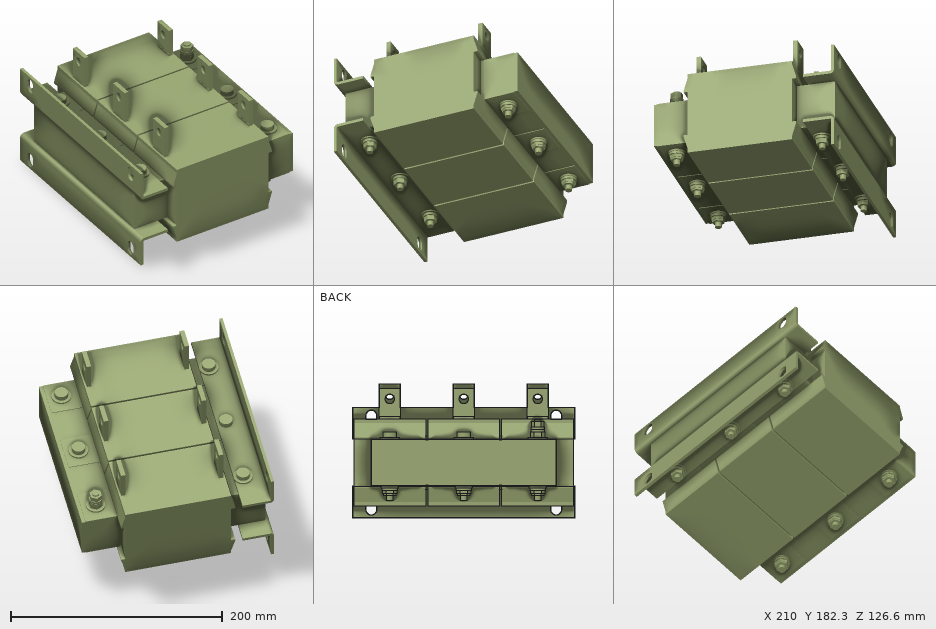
import cadquery as cq


phase_pitch = 70.0
leg_width = 35.0
core_half_height = 21.6
window_front = -53.5
rear_yoke_front = 54.5
core_width = 2 * phase_pitch + leg_width
core_front = window_front - leg_width
core_rear = rear_yoke_front + leg_width
gap_plate_inset = 0.2
gap_plate_width = core_width - 2 * gap_plate_inset

strip_thickness = 0.6
strip_front_setback = 0.2
strip_rear_setback = 3.8
strip_front = core_front + strip_front_setback
strip_rear = core_rear - strip_rear_setback
strip_face = core_half_height + strip_thickness

coil_width = 68.0
coil_half_length = 51.5
coil_half_height = 41.2
flange_overhang = 4.0
flange_bottom = 22.5
flange_slope_start = 24.2
flange_slope_end = 37.4

terminal_width = 20.0
terminal_thickness = 4.5
front_terminal_y = -47.5
rear_terminal_y = 47.7
front_terminal_top = 74.3
rear_terminal_top = 70.1
terminal_hole_diameter = 8.8
terminal_hole_drop = 10.0
foot_height = 2.3
foot_step = 0.2
foot_width = terminal_width - 2 * foot_step
foot_top = coil_half_height + foot_height

bracket_length = 210.0
bracket_thickness = 3.0
bracket_half_span = 52.3
bracket_front = -92.8
bracket_rear = -62.4
bend_inner_radius = 1.0
bend_outer_radius = bend_inner_radius + bracket_thickness
bracket_face = strip_face + bracket_thickness
slot_spacing = 174.7
slot_length = 14.5
slot_width = 10.0
slot_height = 42.2

front_bolt_y = core_front + leg_width / 2
rear_bolt_y = core_rear - leg_width / 2
hex_nut_size = 12.2
large_nut_size = 13.5
rear_stud_diameter = 6.5
front_stud_diameter = 6.0

washer = ("round", 18.5, 1.7)
bolt_head = ("round", 12.5, 4.8)
earth_stud_top = [
    ("round", 18.0, 1.7),
    ("hex", large_nut_size, 4.8),
    ("round", 12.4, 2.3),
    ("round", 11.8, 0.2),
    ("round", 12.4, 2.3),
    ("hex", hex_nut_size, 5.0),
    ("round", rear_stud_diameter, 1.7),
]
rear_bolt_bottom = [
    ("round", 16.2, 1.7),
    ("round", 14.7, 2.3),
    ("hex", large_nut_size, 3.2),
    ("hex", hex_nut_size, 1.7),
    ("round", rear_stud_diameter, 4.8),
]
front_bolt_bottom = [
    ("round", 17.2, 1.3),
    ("round", 13.6, 2.5),
    ("hex", hex_nut_size, 4.6),
    ("round", front_stud_diameter, 4.6),
]

phases = (-phase_pitch, 0, phase_pitch)


def box(width, y_min, y_max, z_min, z_max, x=0):
    """Block centred on x, between the given Y and Z limits."""
    corner = (x - width / 2, y_min, z_min)
    return cq.Workplane("XY").box(width, y_max - y_min, z_max - z_min, centered=False).translate(corner)


def bar_along_x(points, width, x=0):
    """Closed (y, z) outline extruded along X, centred on x."""
    return cq.Workplane("YZ", origin=(x, 0, 0)).polyline(points).close().extrude(width / 2, both=True)


def stack(x, y, start, direction, layers):
    """Round or hexagonal layers piled from height start, up (1) or down (-1)."""
    pile = None
    z = start
    for shape, diameter, height in layers:
        plane = cq.Workplane("XY", origin=(x, y, z))
        sketch = plane.polygon(6, diameter) if shape == "hex" else plane.circle(diameter / 2)
        layer = sketch.extrude(direction * height)
        pile = layer if pile is None else pile.union(layer)
        z += direction * height
    return pile


def make_core():
    h = core_half_height
    core = box(core_width, core_front, window_front, -h, h)
    core = core.union(box(core_width, rear_yoke_front, core_rear, -h, h))
    core = core.union(box(gap_plate_width, coil_half_length, rear_yoke_front, -h, h))
    for x in phases:
        core = core.union(box(leg_width, window_front, coil_half_length, -h, h, x))
        core = core.union(box(leg_width, strip_front, strip_rear, h, strip_face, x))
        core = core.union(box(leg_width, strip_front, strip_rear, -strip_face, -h, x))
    return core


def make_coil(x):
    flange_y = coil_half_length + flange_overhang
    quarter = [
        (coil_half_length, flange_bottom),
        (flange_y, flange_bottom),
        (flange_y, flange_slope_start),
        (coil_half_length, flange_slope_end),
        (coil_half_length, coil_half_height),
    ]
    rear_side = [(y, -z) for y, z in reversed(quarter)] + quarter
    front_side = [(-y, -z) for y, z in rear_side]
    return bar_along_x(rear_side + front_side, coil_width, x)


def make_terminal(x, y, bottom, top):
    half = terminal_thickness / 2
    blade = box(terminal_width, y - half, y + half, bottom, top, x)
    hole = (
        cq.Workplane("XZ", origin=(x, y, top - terminal_hole_drop))
        .circle(terminal_hole_diameter / 2)
        .extrude(terminal_thickness, both=True)
    )
    return blade.cut(hole)


def make_terminal_foot(x):
    front = rear_terminal_y - terminal_thickness / 2 - foot_step
    return box(foot_width, front, front + terminal_thickness, 0, foot_top, x)


def make_upper_bracket():
    inner_y = bracket_front + bracket_thickness
    outline = [
        (bracket_rear, strip_face),
        (bracket_front, strip_face),
        (bracket_front, bracket_half_span),
        (inner_y, bracket_half_span),
        (inner_y, bracket_face),
        (bracket_rear, bracket_face),
    ]
    bracket = bar_along_x(outline, bracket_length)
    outer_bend = cq.selectors.NearestToPointSelector((0, bracket_front, strip_face))
    bracket = bracket.edges(outer_bend).fillet(bend_outer_radius)
    inner_bend = cq.selectors.NearestToPointSelector((0, inner_y, bracket_face))
    bracket = bracket.edges(inner_bend).fillet(bend_inner_radius)
    slots = (
        cq.Workplane("XZ", origin=(0, bracket_front, slot_height))
        .rarray(slot_spacing, 2, 2, 1)
        .slot2D(slot_length, slot_width, 90)
        .extrude(bracket_thickness, both=True)
    )
    return bracket.cut(slots)


def make_fasteners(x):
    rear_top = earth_stud_top if x < 0 else [washer, bolt_head]
    front_top = [bolt_head] if x == 0 else [washer, bolt_head]
    return [
        stack(x, rear_bolt_y, strip_face, 1, rear_top),
        stack(x, rear_bolt_y, -strip_face, -1, rear_bolt_bottom),
        stack(x, front_bolt_y, bracket_face, 1, front_top),
        stack(x, front_bolt_y, -bracket_face, -1, front_bolt_bottom),
    ]


result = make_core()
for x in phases:
    result = result.union(make_coil(x))
    result = result.union(make_terminal(x, front_terminal_y, 0, front_terminal_top))
    result = result.union(make_terminal(x, rear_terminal_y, foot_top, rear_terminal_top))
    result = result.union(make_terminal_foot(x))

upper_bracket = make_upper_bracket()
result = result.union(upper_bracket).union(upper_bracket.mirror("XY"))

for x in phases:
    for fastener in make_fasteners(x):
        result = result.union(fastener)